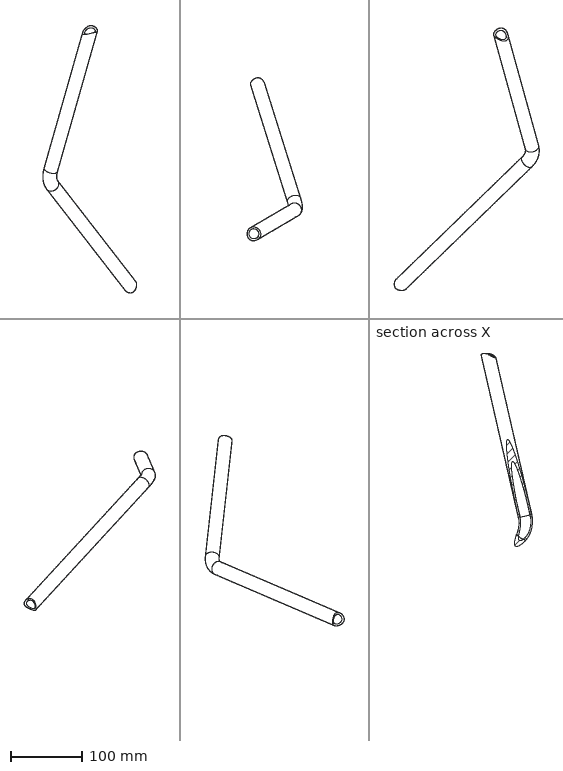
import cadquery as cq
import math

outer_diameter = 19.5
bore_diameter = 14.0
bend_radius = 39.5

upper_end = cq.Vector(21.5, 55.0, 239.5)
lower_end = cq.Vector(-87.5, 169.0, -265.0)

cope_radius = 14.5
cope_length = 103.5
upper_bar_direction = cq.Vector(0.3, 1, 0.2)
lower_tip_direction = cq.Vector(0.87, -0.33, -0.5)
end_allowance = 20.5

upper_direction = upper_end.normalized()
lower_direction = lower_end.normalized()
bend_angle = math.pi - upper_direction.getAngle(lower_direction)
tangent_length = bend_radius * math.tan(bend_angle / 2)
upper_tangent = upper_direction * tangent_length
lower_tangent = lower_direction * tangent_length


def ring(center, direction):
    """Tube section across the given direction."""
    plane = cq.Plane(origin=center, normal=direction)
    return cq.Workplane(plane).circle(outer_diameter / 2).circle(bore_diameter / 2)


def coped_leg(tangent_point, leg_end, bar_direction):
    """Straight tube from the bend to leg_end, where it is coped to a round bar."""
    leg_direction = leg_end.normalized()
    tube_length = leg_end.Length - tangent_length + end_allowance
    tube = ring(tangent_point, leg_direction).extrude(tube_length)
    bar_axis = bar_direction.normalized()
    outward = (leg_direction - bar_axis * leg_direction.dot(bar_axis)).normalized()
    bar_center = leg_end + outward * cope_radius
    bar_start = bar_center - bar_axis * (cope_length / 2)
    bar = cq.Solid.makeCylinder(cope_radius, cope_length, bar_start, bar_axis)
    clearing_plane = cq.Plane(origin=bar_center, normal=outward)
    clearing = cq.Workplane(clearing_plane).rect(cope_length, cope_length).extrude(cope_length)
    return tube.cut(cq.Workplane(obj=bar)).cut(clearing)


def make_elbow():
    """Bent tube along the arc that is tangent to both legs."""
    bisector = (upper_direction + lower_direction).normalized()
    corner_to_center = bend_radius / math.cos(bend_angle / 2)
    arc_middle = bisector * (corner_to_center - bend_radius)
    arc = cq.Edge.makeThreePointArc(upper_tangent, arc_middle, lower_tangent)
    path = cq.Workplane(obj=cq.Wire.assembleEdges([arc]))
    return ring(upper_tangent, upper_direction).sweep(path)


upper_tube = coped_leg(upper_tangent, upper_end, upper_bar_direction)
elbow = make_elbow()
lower_bar_direction = lower_direction.cross(lower_tip_direction)
lower_tube = coped_leg(lower_tangent, lower_end, lower_bar_direction)

result = cq.Compound.makeCompound([upper_tube.val(), elbow.val(), lower_tube.val()])